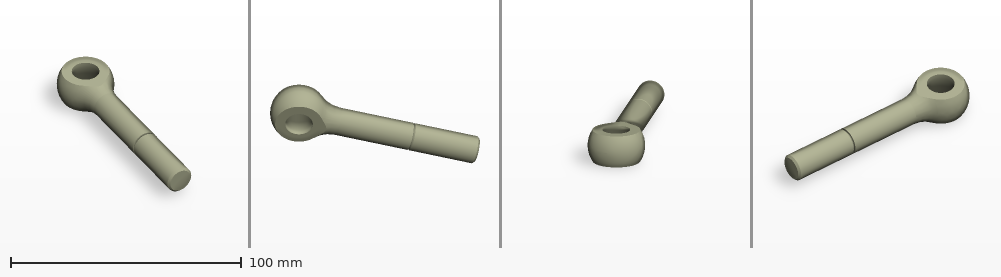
import cadquery as cq
import math

ball_radius = 12.5
eye_thickness = 14.0
bore_diameter = 12.0
shank_radius = 6.0
shank_end = 80.0
neck_fillet_radius = 14.0
thread_length = 30.0
thread_chamfer = 0.92

fillet_centre_y = shank_radius + neck_fillet_radius
centre_distance = ball_radius + neck_fillet_radius
neck_end = math.sqrt(centre_distance**2 - fillet_centre_y**2)
ball_tangent = (
    neck_end * ball_radius / centre_distance,
    fillet_centre_y * ball_radius / centre_distance,
)
half_blend_angle = math.atan2(neck_end, fillet_centre_y) / 2
neck_middle = (
    neck_end - neck_fillet_radius * math.sin(half_blend_angle),
    fillet_centre_y - neck_fillet_radius * math.cos(half_blend_angle),
)

thread_start = shank_end - thread_length
thread_root_radius = shank_radius - thread_chamfer


def make_turned_body():
    """Ball, blended neck, shank and thread, revolved about the X axis."""
    return (
        cq.Workplane("XY")
        .moveTo(-ball_radius, 0)
        .threePointArc((0, ball_radius), ball_tangent)
        .threePointArc(neck_middle, (neck_end, shank_radius))
        .lineTo(thread_start, shank_radius)
        .lineTo(thread_start, thread_root_radius)
        .lineTo(thread_start + thread_chamfer, shank_radius)
        .lineTo(shank_end - thread_chamfer, shank_radius)
        .lineTo(shank_end, thread_root_radius)
        .lineTo(shank_end, 0)
        .close()
        .revolve(360, (0, 0, 0), (1, 0, 0))
    )


def flatten_eye(body):
    """Trim the ball to two flat faces, parallel to XY."""
    slab_side = 2 * (shank_end + ball_radius)
    slab = cq.Workplane("XY").box(slab_side, slab_side, eye_thickness)
    return body.intersect(slab)


def bore_eye(body):
    """Drill the pin hole through the eye along Z."""
    return body.cut(cq.Workplane("XY").cylinder(eye_thickness, bore_diameter / 2))


result = bore_eye(flatten_eye(make_turned_body()))